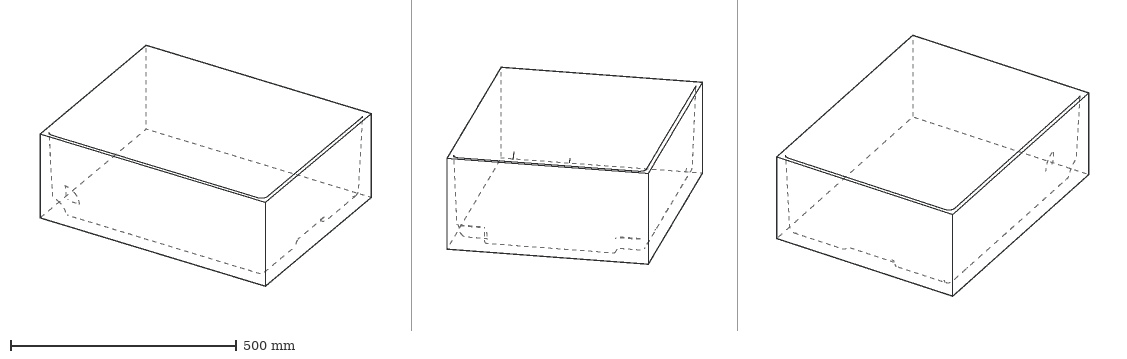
import cadquery as cq
import math

LENGTH = 584.2
WIDTH = 457.2
HEIGHT = 215.9

FLOOR_THICKNESS = 9.525
RIM_WIDTH = 8.6
RIM_FILLET = 1.5875
WALL_DRAFT = 2.0
CAVITY_FILLET = 15.5

BLOCK_REACH_X = 57.15
BLOCK_REACH_Y = 80.9625
BLOCK_ROUND = 41.275
BLOCK_END_FILLET = 7.9375
BLOCK_BLEND = 3.175

WEDGE_REACH = 39.4
WEDGE_ANGLE = 45.0
WEDGE_LENGTH = 136.5
WEDGE_END_FILLET = 9.525
WEDGE_BLEND = 1.5875

EMBED = 6.0
SEAM_TOLERANCE = 0.001

WALL_AT_TOP = RIM_WIDTH + RIM_FILLET
CAVITY_DEPTH = HEIGHT - FLOOR_THICKNESS


def make_cavity():
    """Drafted pocket with one radius on its wall corners and floor edges."""
    shrink = CAVITY_DEPTH * math.tan(math.radians(WALL_DRAFT))
    top_x = LENGTH - 2 * WALL_AT_TOP
    top_y = WIDTH - 2 * WALL_AT_TOP
    cavity = (
        cq.Workplane("XY", origin=(0, 0, FLOOR_THICKNESS))
        .rect(top_x - 2 * shrink, top_y - 2 * shrink)
        .workplane(offset=CAVITY_DEPTH)
        .rect(top_x, top_y)
        .loft(ruled=True)
    )
    cavity = cavity.edges("not #Z").fillet(CAVITY_FILLET)
    return cavity.faces("<Z").edges().fillet(CAVITY_FILLET)


def make_shell():
    """Box with the drafted cavity and a small fillet around the opening."""
    body = cq.Workplane("XY").box(LENGTH, WIDTH, HEIGHT, centered=(True, True, False))
    body = body.cut(make_cavity())
    opening = body.faces(">Z").val().innerWires()[0]
    return body.newObject(opening.Edges()).fillet(RIM_FILLET)


def make_corner_block():
    """Quarter-round block filling the floor corner at -X, -Y."""
    wall_x = -LENGTH / 2 + EMBED
    end_x = -LENGTH / 2 + BLOCK_REACH_X
    length_y = BLOCK_REACH_Y - EMBED
    base_z = FLOOR_THICKNESS / 2
    top_z = FLOOR_THICKNESS + BLOCK_ROUND
    block = (
        cq.Workplane("XZ", origin=(0, length_y / 2, 0))
        .moveTo(wall_x, base_z)
        .lineTo(wall_x, top_z)
        .lineTo(end_x - BLOCK_ROUND, top_z)
        .radiusArc((end_x, FLOOR_THICKNESS), BLOCK_ROUND)
        .lineTo(end_x, base_z)
        .close()
        .extrude(length_y)
    )
    inner_end = block.faces(">Y")
    block = inner_end.edges("not <Z").edges("not <X").fillet(BLOCK_END_FILLET)
    return block.translate((0, length_y / 2 + EMBED - WIDTH / 2, 0))


def make_wedge():
    """Sloped block with rounded ends, rising from the floor into the +X wall."""
    toe_x = LENGTH / 2 - WEDGE_REACH
    back_x = LENGTH / 2 - EMBED
    slope = math.tan(math.radians(WEDGE_ANGLE))
    base_z = FLOOR_THICKNESS / 2
    buried_toe_x = toe_x - (FLOOR_THICKNESS - base_z) / slope
    top_z = base_z + (back_x - buried_toe_x) * slope
    wedge = (
        cq.Workplane("XZ", origin=(0, WEDGE_LENGTH / 2, 0))
        .polyline([(buried_toe_x, base_z), (back_x, top_z), (back_x, base_z)])
        .close()
        .extrude(WEDGE_LENGTH)
    )
    slope_edges = cq.selectors.ParallelDirSelector(cq.Vector(1, 0, slope))
    return wedge.edges(slope_edges).fillet(WEDGE_END_FILLET)


def add_blended(body, block, blend_radius):
    """Join a block to the body and fillet the seam where their surfaces meet."""
    joined = body.union(block)
    body_skin = body.val().Shells()[0]
    block_skin = block.val().Shells()[0]

    def is_seam(edge):
        middle = cq.Vertex.makeVertex(*edge.positionAt(0.5).toTuple())
        return max(body_skin.distance(middle), block_skin.distance(middle)) < SEAM_TOLERANCE

    seam = joined.edges().filter(is_seam)
    return seam.fillet(blend_radius)


front_space = cq.Workplane("XY").box(LENGTH, WIDTH, 2 * HEIGHT).translate((0, -WIDTH / 2, 0))
front_half = add_blended(make_shell(), make_corner_block(), BLOCK_BLEND).intersect(front_space)
tray = front_half.union(front_half.mirror("XZ"))
result = add_blended(tray, make_wedge(), WEDGE_BLEND)